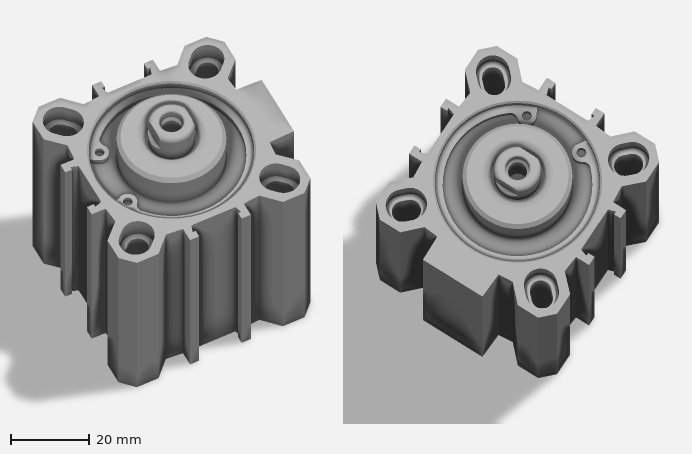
import cadquery as cq
import math


rod_top = 67.0
cover_top = 60.5
housing_height = 54.55
ring_depth = 2.3
ring_thickness = 1.75
seat_depth = 14.75
ring_top = housing_height - ring_depth
ring_bottom = ring_top - ring_thickness
seat_floor = housing_height - seat_depth

half_width = 55.0 / 2
wall_face = 23.4
wall_notch = 23.0
corner_chamfer = 3.5
lobe_edge = 17.8
notch_edge = 13.4
port_face = 30.5
port_half_width = 9.05
port_root_half_width = 9.3

rib_outer = 8.7
rib_lip = 6.1
rib_neck = 7.0
rib_root = 6.3
rib_tip = 27.35
lip_face = 25.4

bolt_place = 20.5
bolt_hole_diameter = 5.5
bolt_head_diameter = 8.6
bolt_slot_shift = 2.0
bolt_head_depth = 5.5

seat_diameter = 41.7
mouth_diameter = 42.2
mouth_chamfer = 0.5
ring_outer_diameter = 44.7

ring_inner_diameter = 38.2
lug_diameter = 4.9
lug_hole_diameter = 2.5
lug_circle_radius = 18.35
lug_angle = 27.6
lug_fillet = 2.0
flank_lean = 30.0
ring_turn = -2.2

collar_diameter = 28.0
collar_chamfer = 1.0
collar_root_fillet = 0.75
wiper_diameter = 13.7
wiper_depth = 1.35
wiper_chamfer = 0.6
clearance_diameter = 12.5
clearance_depth = 1.9

rod_diameter = 12.0
rod_fillet = 1.3
flats_width = 10.0
flats_length = 4.5
thread_diameter = 6.2
thread_chamfer = 0.3
thread_depth = 2.35
tap_hole_diameter = 4.9
tap_hole_depth = 13.4
drill_tip_half_angle = 80.0


def cylinder(diameter, bottom, top):
    """Upright cylinder on the rod axis."""
    return cq.Workplane("XY").workplane(offset=bottom).circle(diameter / 2).extrude(top - bottom)


def housing_outline():
    """Solid prism with four corner lobes and the port boss on +Y."""
    lobe = [
        (wall_notch, notch_edge),
        (half_width, lobe_edge),
        (half_width, half_width - corner_chamfer),
        (half_width - corner_chamfer, half_width),
        (lobe_edge, half_width),
        (notch_edge, wall_notch),
    ]
    side_edge = [(wall_face, -rib_outer), (wall_face, rib_outer)]
    points = []
    for quarter in range(4):
        turn = math.radians(90 * quarter)
        for x, y in side_edge + lobe:
            points.append((x * math.cos(turn) - y * math.sin(turn), x * math.sin(turn) + y * math.cos(turn)))
    body = cq.Workplane("XY").polyline(points).close().extrude(housing_height)

    port = [
        (-port_root_half_width, wall_notch),
        (-port_half_width, port_face),
        (port_half_width, port_face),
        (port_root_half_width, wall_notch),
    ]
    port_boss = cq.Workplane("XY").polyline(port).close().extrude(housing_height)
    return body.union(port_boss)


def rail_ribs():
    """Two hooked ribs of the rail on the +X side."""
    hook = [
        (wall_face, rib_outer),
        (rib_tip, rib_outer),
        (rib_tip, rib_lip),
        (lip_face, rib_lip),
        (lip_face, rib_neck),
        (wall_face, rib_root),
    ]
    rib = cq.Workplane("XY").polyline(hook).close().extrude(housing_height)
    return rib.union(rib.mirror("XZ"))


def bolt_slot(diameter, bottom):
    """Slots through the four lobes, stretched along the diagonals, open at the housing top."""
    slots = cq.Workplane("XY")
    for x, y in ((1, 1), (-1, 1), (-1, -1), (1, -1)):
        slot = (
            cq.Workplane("XY")
            .workplane(offset=bottom)
            .center(x * bolt_place, y * bolt_place)
            .slot2D(diameter + bolt_slot_shift, diameter, 45 * x * y)
            .extrude(housing_height - bottom)
        )
        slots = slots.add(slot)
    return slots.combine()


def make_housing():
    housing = housing_outline()
    for side_angle in (0, 180, 270):
        housing = housing.union(rail_ribs().rotate((0, 0, 0), (0, 0, 1), side_angle))
    housing = housing.cut(bolt_slot(bolt_hole_diameter, 0))
    housing = housing.cut(bolt_slot(bolt_head_diameter, housing_height - bolt_head_depth))
    seat = cylinder(seat_diameter, seat_floor, housing_height)
    groove = cylinder(ring_outer_diameter, ring_bottom, ring_top)
    mouth = cylinder(mouth_diameter, ring_top, housing_height)
    mouth_edge = cq.Workplane(
        cq.Solid.makeCone(
            mouth_diameter / 2,
            mouth_diameter / 2 + mouth_chamfer,
            mouth_chamfer,
            pnt=cq.Vector(0, 0, housing_height - mouth_chamfer),
        )
    )
    return housing.cut(seat).cut(groove).cut(mouth).cut(mouth_edge)


def make_snap_ring():
    lug_x = lug_circle_radius * math.sin(math.radians(lug_angle))
    lug_y = -lug_circle_radius * math.cos(math.radians(lug_angle))
    lug_places = [(-lug_x, lug_y), (lug_x, lug_y)]
    inner_radius = ring_inner_diameter / 2
    lug_radius = lug_diameter / 2

    plane = cq.Workplane("XY").workplane(offset=ring_bottom)
    ring = plane.circle(ring_outer_diameter / 2).circle(inner_radius).extrude(ring_thickness)
    lugs = plane.pushPoints(lug_places).circle(lug_radius).extrude(ring_thickness)
    ring = ring.union(lugs.intersect(cylinder(ring_outer_diameter, ring_bottom, ring_top)))

    lean = math.radians(flank_lean)
    tangent_x = lug_x - lug_radius * math.cos(lean)
    tangent_y = lug_y - lug_radius * math.sin(lean)
    mouth_y = -ring_outer_diameter / 2
    mouth_x = tangent_x + (tangent_y - mouth_y) * math.tan(lean)
    mouth = [(-tangent_x, tangent_y), (tangent_x, tangent_y), (mouth_x, mouth_y), (-mouth_x, mouth_y)]
    ring = ring.cut(plane.polyline(mouth).close().extrude(ring_thickness))

    corner_offset = math.acos(
        (inner_radius**2 + lug_circle_radius**2 - lug_radius**2) / (2 * inner_radius * lug_circle_radius)
    )
    corner_angle = math.radians(lug_angle) + corner_offset
    corner_y = -inner_radius * math.cos(corner_angle)
    for side in (-1, 1):
        corner = (side * inner_radius * math.sin(corner_angle), corner_y, ring_bottom + ring_thickness / 2)
        ring = ring.edges(cq.NearestToPointSelector(corner)).fillet(lug_fillet)

    ring = ring.cut(plane.pushPoints(lug_places).circle(lug_hole_diameter / 2).extrude(ring_thickness))
    return ring.rotate((0, 0, 0), (0, 0, 1), ring_turn)


def make_cover():
    smallest_circle = cq.selectors.RadiusNthSelector(0)
    collar = cylinder(collar_diameter, seat_floor, cover_top).faces(">Z").chamfer(collar_chamfer)
    cover = collar.union(cylinder(seat_diameter, seat_floor, ring_bottom))
    flange_face = cover.faces(cq.NearestToPointSelector((0, 0, ring_bottom)))
    cover = flange_face.edges(smallest_circle).fillet(collar_root_fillet)
    cover = cover.cut(cylinder(rod_diameter, seat_floor, cover_top))
    cover = cover.cut(cylinder(clearance_diameter, cover_top - clearance_depth, cover_top))
    cover = cover.cut(cylinder(wiper_diameter, cover_top - wiper_depth, cover_top))
    return cover.faces(">Z").edges(smallest_circle).chamfer(wiper_chamfer)


def make_rod():
    rod = cylinder(rod_diameter, seat_floor, rod_top).faces(">Z").edges().fillet(rod_fillet)

    flat_y = flats_width / 2
    flats_bottom = rod_top - flats_length
    ramp = rod_diameter / 2 - flat_y
    flat_cut = [
        (flat_y, rod_top),
        (flat_y, flats_bottom),
        (flat_y + ramp, flats_bottom - ramp),
        (flat_y + ramp, rod_top),
    ]
    cutter = cq.Workplane("YZ").polyline(flat_cut).close().extrude(rod_diameter / 2, both=True)
    rod = rod.cut(cutter).cut(cutter.mirror("XZ"))

    thread_radius = thread_diameter / 2
    tap_radius = tap_hole_diameter / 2
    thread_end = rod_top - thread_depth
    tap_end = rod_top - tap_hole_depth
    tip_height = tap_radius / math.tan(math.radians(drill_tip_half_angle))
    hole = [
        (0, rod_top),
        (thread_radius + thread_chamfer, rod_top),
        (thread_radius, rod_top - thread_chamfer),
        (thread_radius, thread_end),
        (tap_radius, thread_end - (thread_radius - tap_radius)),
        (tap_radius, tap_end),
        (0, tap_end - tip_height),
    ]
    return rod.cut(cq.Workplane("XZ").polyline(hole).close().revolve(360, (0, 0), (0, 1)))


housing = make_housing()
snap_ring = make_snap_ring()
cover = make_cover()
rod = make_rod()

result = cq.Compound.makeCompound([housing.val(), snap_ring.val(), cover.val(), rod.val()])